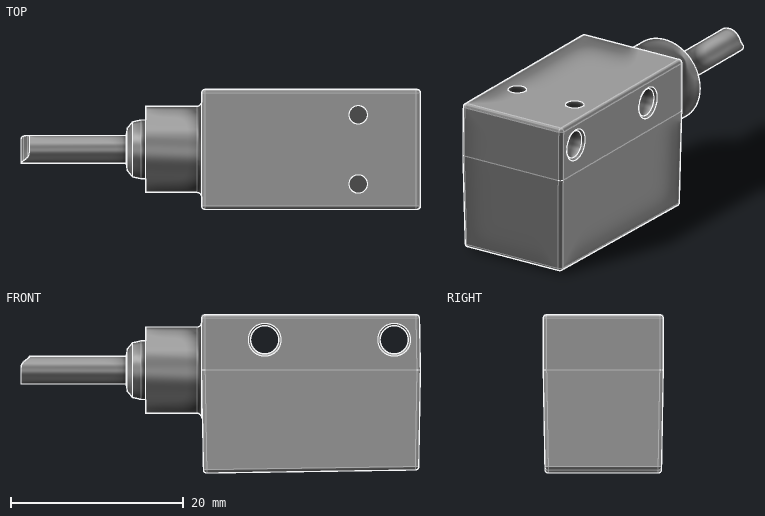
import cadquery as cq
import math


overall_length = 46.25
housing_front = 20.9
housing_length = overall_length - housing_front
housing_width = 13.9
top_height = 6.45
base_depth = 11.95
wall_draft = 1.0
floor_rise = 0.35
edge_radius = 0.4

mount_diameter = 3.25
mount_countersink = 3.8
mount_rear_x = 43.2
mount_pitch = 15.0
mount_z = 3.5

top_hole_diameter = 2.15
top_hole_depth = 5.0
top_hole_x = 39.05
top_hole_pitch = 8.0

collar_front = 14.45
collar_radius = 5.0
collar_fillet = 0.55
gland_front = 12.15
gland_nose_x = 12.3
gland_nose_radius = 2.45
gland_shoulder_x = 12.9
gland_shoulder_radius = 3.2
gland_rim_x = 13.9
gland_radius = 3.4
cable_radius = 1.6

cut_roll = math.degrees(math.atan(0.5))
cut_angle = 42.0
cut_lower_bend = -0.5
cut_slope_start = 0.3
cut_slope_end = 0.8
cut_upper_bend = 1.35


def make_upper_half():
    rear_inset = top_height * math.tan(math.radians(wall_draft))
    block = (
        cq.Workplane("XZ")
        .moveTo(housing_front, 0)
        .lineTo(housing_front, top_height)
        .lineTo(overall_length - rear_inset, top_height)
        .lineTo(overall_length, 0)
        .close()
        .extrude(housing_width / 2, both=True)
    )
    return block.edges("not(<Z)").fillet(edge_radius)


def make_lower_half():
    block = (
        cq.Workplane("XY")
        .center(housing_front + housing_length / 2, 0)
        .rect(housing_length, housing_width)
        .extrude(-base_depth, taper=wall_draft)
    )
    draft_inset = base_depth * math.tan(math.radians(wall_draft))
    below_floor = (
        cq.Workplane("XZ")
        .moveTo(housing_front + draft_inset, -base_depth)
        .lineTo(overall_length, -base_depth + floor_rise)
        .lineTo(overall_length, -base_depth)
        .close()
        .extrude(housing_width / 2, both=True)
    )
    return block.cut(below_floor).edges("not(>Z)").fillet(edge_radius)


def make_collar():
    """Collar that flares into the housing front with a concave fillet."""
    fillet_start = housing_front - collar_fillet
    mid = collar_fillet * math.sqrt(0.5)
    embedded_end = housing_front + edge_radius
    flare_radius = collar_radius + collar_fillet
    return (
        cq.Workplane("XY")
        .moveTo(collar_front, 0)
        .lineTo(collar_front, collar_radius)
        .lineTo(fillet_start, collar_radius)
        .threePointArc((fillet_start + mid, flare_radius - mid), (housing_front, flare_radius))
        .lineTo(embedded_end, flare_radius)
        .lineTo(embedded_end, 0)
        .close()
        .revolve(360, (0, 0, 0), (1, 0, 0))
    )


def make_gland():
    """Narrower ring in front of the collar, its nose rounded off by three cones."""
    return (
        cq.Workplane("XY")
        .moveTo(gland_front, 0)
        .lineTo(gland_front, cable_radius)
        .lineTo(gland_nose_x, gland_nose_radius)
        .lineTo(gland_shoulder_x, gland_shoulder_radius)
        .lineTo(gland_rim_x, gland_radius)
        .lineTo(collar_front, gland_radius)
        .lineTo(collar_front, 0)
        .close()
        .revolve(360, (0, 0, 0), (1, 0, 0))
    )


def make_cable():
    cable = cq.Workplane("YZ").circle(cable_radius).extrude(gland_front)

    half_slope = math.tan(math.radians(cut_angle / 2))
    full_slope = math.tan(math.radians(cut_angle))
    slope_start_x = (cut_slope_start - cut_lower_bend) * half_slope
    slope_end_x = slope_start_x + (cut_slope_end - cut_slope_start) * full_slope
    setback = slope_end_x + (cut_upper_bend - cut_slope_end) * half_slope
    clear = 2 * cable_radius
    removed_tip = (
        cq.Workplane("XZ")
        .moveTo(0, -clear)
        .lineTo(0, cut_lower_bend)
        .tangentArcPoint((slope_start_x, cut_slope_start), relative=False)
        .lineTo(slope_end_x, cut_slope_end)
        .tangentArcPoint((setback, cut_upper_bend), relative=False)
        .lineTo(setback, clear)
        .lineTo(-clear, clear)
        .lineTo(-clear, -clear)
        .close()
        .extrude(clear, both=True)
        .rotate((0, 0, 0), (1, 0, 0), -cut_roll)
    )
    return cable.cut(removed_tip)


def make_mount_hole(x):
    """Through hole along Y with a 45 degree countersink at each side face."""
    half_width = housing_width / 2
    radius = mount_diameter / 2
    sink_radius = mount_countersink / 2
    sink_start = half_width - (sink_radius - radius)
    return (
        cq.Workplane("XY")
        .moveTo(0, -half_width)
        .lineTo(sink_radius, -half_width)
        .lineTo(radius, -sink_start)
        .lineTo(radius, sink_start)
        .lineTo(sink_radius, half_width)
        .lineTo(0, half_width)
        .close()
        .revolve(360, (0, 0, 0), (0, 1, 0))
        .translate((x, 0, mount_z))
    )


def make_top_holes():
    return (
        cq.Workplane("XY", origin=(top_hole_x, 0, top_height))
        .rarray(0.45, top_hole_pitch, 1, 2)
        .circle(top_hole_diameter / 2)
        .extrude(-top_hole_depth)
    )


result = make_upper_half().union(make_lower_half())
for neck_part in (make_collar(), make_gland(), make_cable()):
    result = result.union(neck_part)
for mount_x in (mount_rear_x - mount_pitch, mount_rear_x):
    result = result.cut(make_mount_hole(mount_x))
result = result.cut(make_top_holes())